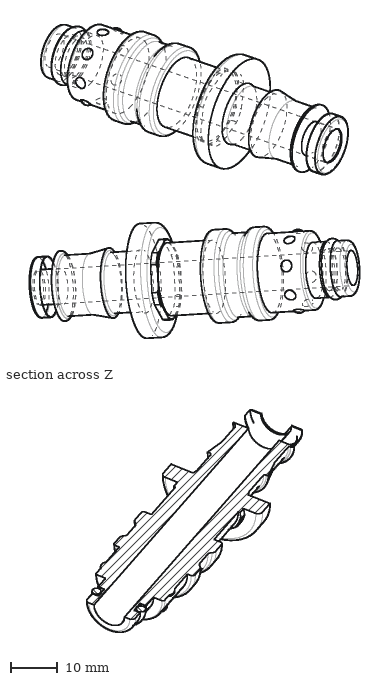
import cadquery as cq
import math

length = 70.3
bore_diameter = 7.45

spigot_diameter = 11.95
spigot_lip_radius = 0.9
groove_start = 3.0
groove_end = 5.4
groove_diameter = 9.0
ring_outer_diameter = 13.1
ring_centre = 4.1

sleeve_start = 8.5
sleeve_diameter = 16.95
sleeve_fillet = 0.4
bump_count = 8
bump_centre = 12.0
bump_tip_diameter = 18.0
bump_base_diameter = 2.4
bump_turn = -2.8

collar_diameter = 20.0
waist_diameter = 18.0
first_collar_start = 18.5
first_collar_crest_end = 21.2
second_collar_crest_start = 27.8
second_collar_end = 30.9
collar_fillet = 0.6
waist_blend_radius = 1.0

barrel_diameter = 15.6
hex_sides = 6
hex_start = 40.9
hex_across_flats = 16.25
hex_corner_diameter = 17.3
hex_turn = -9.2
hex_corner_chamfer = 0.2

flange_start = 42.4
flange_end = 46.75
flange_diameter = 24.5
flange_fillet = 1.05

stem_diameter = 13.1
stem_root_length = 1.0
stem_root_rise = 0.3
barb_start = 53.9
barb_end = 58.35
barb_diameter = 15.05
barb_root_fillet = 0.4
lip_end = 64.9
lip_width = 0.7
lip_root_fillet = 0.35
lip_edge_fillet = 0.55

neck_diameter = 7.6
cup_start = 67.85
cup_wall = 0.15
cup_floor = 0.35
cup_fillet = 0.5


def add_waist_blends(profile):
    """Draw the S-shaped drop from the first collar, the waist and the matching rise."""
    crest = collar_diameter / 2
    waist = waist_diameter / 2
    half_drop = (crest - waist) / 2
    half_run = math.sqrt(waist_blend_radius**2 - (waist_blend_radius - half_drop) ** 2)
    middle = crest - half_drop
    left = first_collar_crest_end
    right = second_collar_crest_start
    return (
        profile.lineTo(left, crest)
        .radiusArc((left + half_run, middle), waist_blend_radius)
        .radiusArc((left + 2 * half_run, waist), -waist_blend_radius)
        .lineTo(right - 2 * half_run, waist)
        .radiusArc((right - half_run, middle), -waist_blend_radius)
        .radiusArc((right, crest), waist_blend_radius)
    )


def make_turned_body():
    """Revolve the outer profile of the fitting, from the spigot to the end cup."""
    spigot = spigot_diameter / 2
    groove = groove_diameter / 2
    sleeve = sleeve_diameter / 2
    crest = collar_diameter / 2
    barrel = barrel_diameter / 2
    flange = flange_diameter / 2
    stem = stem_diameter / 2
    barb = barb_diameter / 2
    neck = neck_diameter / 2
    lip_start = lip_end - lip_width

    profile = (
        cq.Workplane("XY")
        .moveTo(0, 0)
        .lineTo(0, spigot - spigot_lip_radius)
        .radiusArc((spigot_lip_radius, spigot), spigot_lip_radius)
        .lineTo(groove_start, spigot)
        .lineTo(groove_start, groove)
        .lineTo(groove_end, groove)
        .lineTo(groove_end, spigot)
        .lineTo(sleeve_start, spigot)
        .lineTo(sleeve_start, sleeve - sleeve_fillet)
        .radiusArc((sleeve_start + sleeve_fillet, sleeve), sleeve_fillet)
        .lineTo(first_collar_start, sleeve)
        .lineTo(first_collar_start, crest - collar_fillet)
        .radiusArc((first_collar_start + collar_fillet, crest), collar_fillet)
    )
    profile = (
        add_waist_blends(profile)
        .lineTo(second_collar_end - collar_fillet, crest)
        .radiusArc((second_collar_end, crest - collar_fillet), collar_fillet)
        .lineTo(second_collar_end, barrel)
        .lineTo(flange_start, barrel)
        .lineTo(flange_start, flange - flange_fillet)
        .radiusArc((flange_start + flange_fillet, flange), flange_fillet)
        .lineTo(flange_end, flange)
        .lineTo(flange_end, stem + stem_root_rise)
        .lineTo(flange_end + stem_root_length, stem)
        .lineTo(barb_start - barb_root_fillet, stem)
        .radiusArc((barb_start, stem + barb_root_fillet), -barb_root_fillet)
        .lineTo(barb_start, barb)
        .lineTo(barb_end, stem)
        .lineTo(lip_start - lip_root_fillet, stem)
        .radiusArc((lip_start, stem + lip_root_fillet), -lip_root_fillet)
        .lineTo(lip_start, barb - lip_edge_fillet)
        .radiusArc((lip_start + lip_edge_fillet, barb), lip_edge_fillet)
        .lineTo(lip_end, barb)
        .lineTo(lip_end, neck)
        .lineTo(length - cup_floor, neck)
        .lineTo(length - cup_floor, stem - cup_wall)
        .lineTo(cup_start, stem - cup_wall)
        .lineTo(cup_start, stem)
        .lineTo(length - cup_fillet, stem)
        .radiusArc((length, stem - cup_fillet), cup_fillet)
        .lineTo(length, 0)
        .close()
    )
    return profile.revolve(360, (0, 0, 0), (1, 0, 0))


def make_bumps():
    """Spherical detent bumps spaced evenly round the sleeve."""
    base_radius = bump_base_diameter / 2
    height = (bump_tip_diameter - sleeve_diameter) / 2
    ball_radius = (base_radius**2 + height**2) / (2 * height)
    ball_offset = bump_tip_diameter / 2 - ball_radius
    bumps = cq.Workplane("XY")
    for index in range(bump_count):
        angle = math.radians(bump_turn + index * 360 / bump_count)
        centre = (bump_centre, ball_offset * math.cos(angle), ball_offset * math.sin(angle))
        bumps = bumps.add(cq.Workplane("XY").sphere(ball_radius).translate(centre))
    return bumps


def make_hexagon():
    """Hexagon ahead of the flange, its corners turned down to a cylinder."""
    width = flange_start - hex_start
    half_side_angle = 180 / hex_sides
    point_diameter = hex_across_flats / math.cos(math.radians(half_side_angle))
    start_plane = cq.Workplane("YZ", origin=(hex_start, 0, 0))
    hexagon = start_plane.polygon(hex_sides, point_diameter).extrude(width)
    hexagon = hexagon.rotate((0, 0, 0), (1, 0, 0), hex_turn + half_side_angle)
    corner_envelope = start_plane.circle(hex_corner_diameter / 2).extrude(width)
    corner_envelope = corner_envelope.faces("<X").edges().chamfer(hex_corner_chamfer)
    return hexagon.intersect(corner_envelope)


def make_fitting():
    """Turned body with hexagon and bumps, bored through along its axis."""
    fitting = make_turned_body().union(make_hexagon())
    for bump in make_bumps().vals():
        fitting = fitting.union(cq.Workplane(bump))
    bore = cq.Workplane("YZ").circle(bore_diameter / 2).extrude(length)
    return fitting.cut(bore)


def make_seal_ring():
    """O-ring that rests on the floor of the spigot groove."""
    section_radius = (ring_outer_diameter - groove_diameter) / 4
    centre_radius = groove_diameter / 2 + section_radius
    section = cq.Workplane("XY").center(ring_centre, centre_radius).circle(section_radius)
    return section.revolve(360, (-0.7, -centre_radius, 0), (0.7, -centre_radius, 0))


fitting = make_fitting()
seal_ring = make_seal_ring()

result = cq.Compound.makeCompound([fitting.val(), seal_ring.val()])